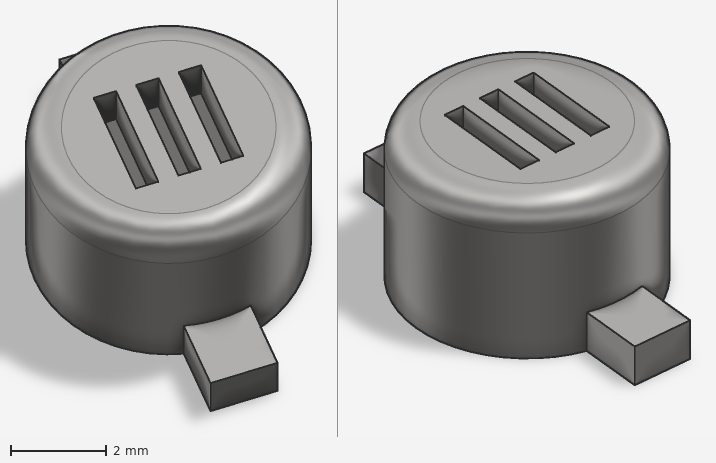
import cadquery as cq

length = 9.0
body_diameter = 6.0
body_height = 4.0
top_fillet = 0.75

tab_width = 1.5
tab_height = 1.0

slot_count = 3
slot_length = 2.52
slot_width = 0.5
slot_pitch = 0.95
slot_depth = 1.0


def make_body():
    """Round body with a rounded top edge."""
    body = cq.Workplane("XY").circle(body_diameter / 2).extrude(body_height)
    return body.faces(">Z").edges().fillet(top_fillet)


def make_tabs():
    """One bar through the body, whose ends form the two tabs."""
    return cq.Workplane("XY").rect(length, tab_width).extrude(tab_height)


def make_slots():
    """Row of parallel slots, spaced along Y and sunk from the top face."""
    return (
        cq.Workplane("XY", origin=(0, 0, body_height))
        .rarray(0.09, slot_pitch, 1, slot_count)
        .rect(slot_length, slot_width)
        .extrude(-slot_depth)
    )


result = make_body().union(make_tabs()).cut(make_slots())